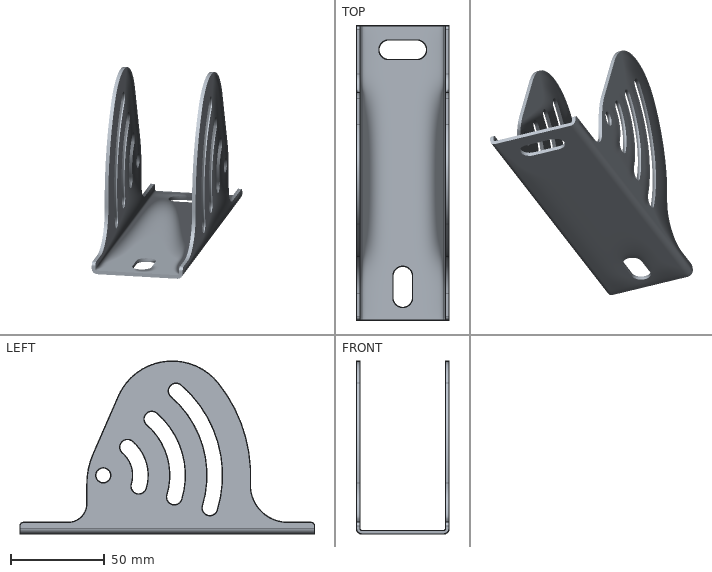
import cadquery as cq
import math

length = 158.5
width = 50.0
height = 93.0
inner_bend_radius = 1.0
thickness = 2 * inner_bend_radius
outer_bend_radius = inner_bend_radius + thickness

flange_height = 6.3
flange_corner_radius = 2.0
back_edge_y = 43.3
back_fillet_radius = 10.0
back_arc_radius = 40.0
back_arc_start_z = 27.0
front_fillet_radius = 20.0
crown_radius = 31.7
crown_end_y = 26.0

pivot_y = 34.4
pivot_z = 31.5
pivot_diameter = 8.0
sweep_radius = 79.2
arc_slot_width = 8.2
arc_slot_spacing = 20.0
arc_slot_count = 3
arc_slot_low_angle = -17.0
arc_slot_high_angle = 49.2

mount_slot_width = 10.5
cross_slot_length = 25.5
cross_slot_y = 66.3
long_slot_length = 22.0
long_slot_y = -61.2


def polar(center, radius, degrees):
    """Point on a circle; angles run from -Y towards +Z."""
    angle = math.radians(degrees)
    return (center[0] - radius * math.cos(angle), center[1] + radius * math.sin(angle))


def angle_to(center, point):
    """Direction from center to point, in the convention used by polar."""
    return math.degrees(math.atan2(point[1] - center[1], center[0] - point[0]))


def channel():
    outer = (
        cq.Workplane("XY")
        .box(width, length, height + outer_bend_radius, centered=(True, True, False))
        .edges("|Y and <Z")
        .fillet(outer_bend_radius)
    )
    inner = (
        cq.Workplane("XY")
        .box(width - 2 * thickness, length, height + outer_bend_radius, centered=(True, True, False))
        .edges("|Y and <Z")
        .fillet(inner_bend_radius)
        .translate((0, 0, thickness))
    )
    return outer.cut(inner)


def side_profile():
    """Side plate silhouette, extruded across the full width."""
    pivot = (pivot_y, pivot_z)

    crown_z = height - crown_radius
    crown_y = pivot_y - math.sqrt((sweep_radius - crown_radius) ** 2 - (crown_z - pivot_z) ** 2)
    crown = (crown_y, crown_z)
    crown_angle = angle_to(pivot, crown)
    crown_start = polar(pivot, sweep_radius, crown_angle)
    crown_end = (crown_end_y, crown_z + math.sqrt(crown_radius**2 - (crown_end_y - crown_y) ** 2))

    back_center = (back_edge_y - back_arc_radius, back_arc_start_z)
    distance = math.dist(back_center, crown_end)
    offset_angle = math.degrees(math.acos(back_arc_radius / distance))
    back_tangent_angle = angle_to(back_center, crown_end) + offset_angle

    front_fillet_z = flange_height + front_fillet_radius
    front_fillet_distance = sweep_radius + front_fillet_radius
    front_fillet_reach = math.sqrt(front_fillet_distance**2 - (front_fillet_z - pivot_z) ** 2)
    front_fillet_center = (pivot_y - front_fillet_reach, front_fillet_z)
    sweep_low_angle = angle_to(pivot, front_fillet_center)

    back_fillet_center = (back_edge_y + back_fillet_radius, flange_height + back_fillet_radius)
    corner_y = length / 2 - flange_corner_radius
    corner_z = flange_height - flange_corner_radius
    corner_mid_shift = flange_corner_radius * math.sqrt(0.5)
    corner_mid_y = corner_y + corner_mid_shift
    corner_mid_z = corner_z + corner_mid_shift

    return (
        cq.Workplane("YZ")
        .moveTo(-length / 2, 0)
        .lineTo(-length / 2, corner_z)
        .threePointArc((-corner_mid_y, corner_mid_z), (-corner_y, flange_height))
        .lineTo(front_fillet_center[0], flange_height)
        .threePointArc(
            polar(front_fillet_center, front_fillet_radius, -135),
            polar(pivot, sweep_radius, sweep_low_angle),
        )
        .threePointArc(polar(pivot, sweep_radius, (sweep_low_angle + crown_angle) / 2), crown_start)
        .threePointArc((crown_y, height), crown_end)
        .lineTo(*polar(back_center, back_arc_radius, back_tangent_angle))
        .threePointArc(
            polar(back_center, back_arc_radius, (back_tangent_angle + 180) / 2),
            (back_edge_y, back_arc_start_z),
        )
        .lineTo(back_edge_y, back_fillet_center[1])
        .threePointArc(
            polar(back_fillet_center, back_fillet_radius, -45),
            (back_fillet_center[0], flange_height),
        )
        .lineTo(corner_y, flange_height)
        .threePointArc((corner_mid_y, corner_mid_z), (length / 2, corner_z))
        .lineTo(length / 2, 0)
        .close()
        .extrude(width / 2, both=True)
    )


def pivot_hole():
    return (
        cq.Workplane("YZ")
        .center(pivot_y, pivot_z)
        .circle(pivot_diameter / 2)
        .extrude(width / 2, both=True)
    )


def arc_slot(radius):
    """Round-ended slot through both plates, centred on an arc about the pivot."""
    pivot = (pivot_y, pivot_z)
    low, high = arc_slot_low_angle, arc_slot_high_angle
    middle = (low + high) / 2
    inner = radius - arc_slot_width / 2
    outer = radius + arc_slot_width / 2
    band = (
        cq.Workplane("YZ")
        .moveTo(*polar(pivot, inner, low))
        .threePointArc(polar(pivot, inner, middle), polar(pivot, inner, high))
        .lineTo(*polar(pivot, outer, high))
        .threePointArc(polar(pivot, outer, middle), polar(pivot, outer, low))
        .close()
        .extrude(width / 2, both=True)
    )
    ends = (
        cq.Workplane("YZ")
        .pushPoints([polar(pivot, radius, low), polar(pivot, radius, high)])
        .circle(arc_slot_width / 2)
        .extrude(width / 2, both=True)
    )
    return band.union(ends)


def mount_slot(y, slot_length, direction):
    return (
        cq.Workplane("XY")
        .center(0, y)
        .slot2D(slot_length, mount_slot_width, direction)
        .extrude(outer_bend_radius)
    )


result = channel().intersect(side_profile()).cut(pivot_hole())
for index in range(1, arc_slot_count + 1):
    result = result.cut(arc_slot(index * arc_slot_spacing))
result = result.cut(mount_slot(cross_slot_y, cross_slot_length, 0))
result = result.cut(mount_slot(long_slot_y, long_slot_length, 90))